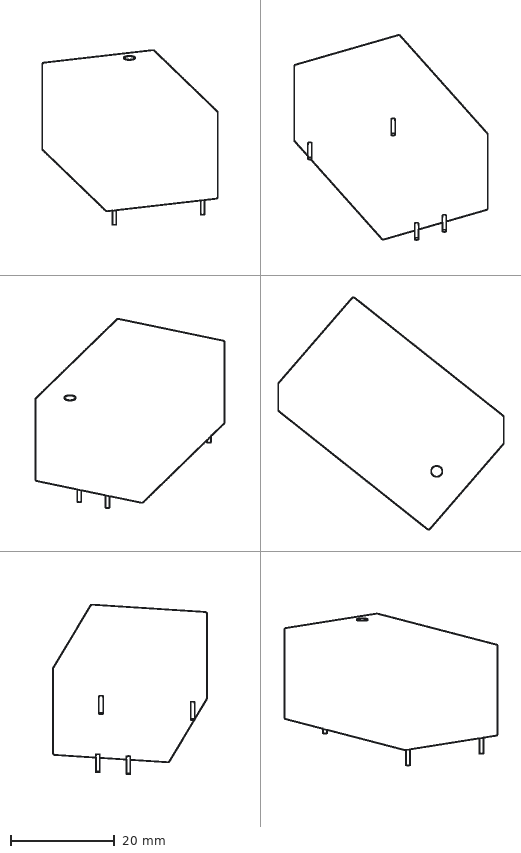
import cadquery as cq

case_length = 38
case_width = 23.0
overall_height = 21.5
pin_length = 3.5
case_height = overall_height - pin_length
edge_radius = 0.4

pin_diameter = 0.8
pin_end_distance = 2.15
pin_pitch = 6.0
pin_x = case_length / 2 - pin_end_distance
close_pair_y = pin_pitch / 2
wide_pair_y = 3 * pin_pitch / 2
pin_positions = [
    (end_x, side * pair_y)
    for end_x, pair_y in ((-pin_x, close_pair_y), (pin_x, wide_pair_y))
    for side in (-1, 1)
]

mark_diameter = 2.15
mark_depth = 0.1
mark_end_distance = 3.08
mark_x = mark_end_distance - case_length / 2
mark_y = 5.4


def make_case():
    """Block with every edge rounded."""
    block = cq.Workplane("XY").box(case_length, case_width, case_height, centered=(True, True, False))
    return block.edges().fillet(edge_radius)


def make_pins():
    """Round pins hanging from the underside of the case."""
    return cq.Workplane("XY").pushPoints(pin_positions).circle(pin_diameter / 2).extrude(-pin_length)


def make_mark():
    """Disc removed from the top face to leave the pin-one mark."""
    top_plane = cq.Workplane("XY").workplane(offset=case_height)
    return top_plane.center(mark_x, mark_y).circle(mark_diameter / 2).extrude(-mark_depth)


result = make_case().union(make_pins()).cut(make_mark())